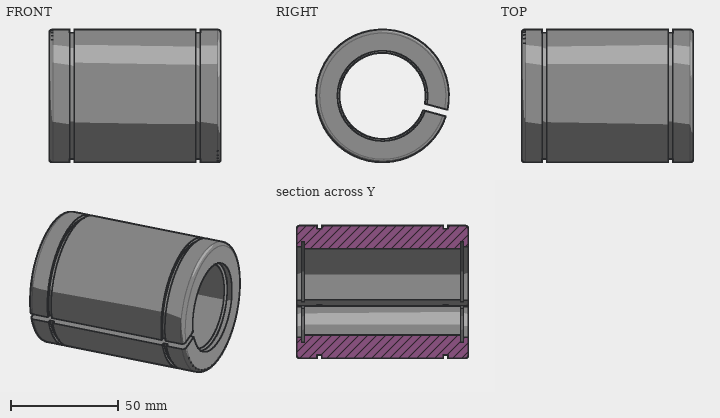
import cadquery as cq

length = 80.0
outer_diameter = 62.0
outer_radius = outer_diameter / 2
bore_radius = 20.0
edge_radius = 1.6

recess_radius = 21.0
recess_depth = 2.5

undercut_radius = 23.4
undercut_width = 1.0

groove_offset = 9.6
groove_width = 2.0
groove_depth = 1.5

slit_width = 3.0
slit_tilt = 15.0


def cylinder(radius, start, width):
    """Solid cylinder about the X axis, beginning at x = start."""
    return cq.Workplane("YZ", origin=(start, 0, 0)).circle(radius).extrude(width)


def make_body():
    left_end = -length / 2
    body = cylinder(outer_radius, left_end, length).edges().fillet(edge_radius)
    return body.cut(cylinder(bore_radius, left_end, length))


def cut_at_both_ends(body, cutter):
    """Cut with a tool at the -X end and its mirror image at the +X end."""
    return body.cut(cutter).cut(cutter.mirror("YZ"))


def make_groove():
    start = -length / 2 + groove_offset
    blank = cylinder(outer_radius + groove_depth, start, groove_width)
    return blank.cut(cylinder(outer_radius - groove_depth, start, groove_width))


def make_slit():
    slit = cq.Workplane("XY").box(length, outer_diameter, slit_width, centered=(True, False, True))
    return slit.rotate((0, 0, 0), (1, 0, 0), -slit_tilt)


result = make_body()
result = cut_at_both_ends(result, cylinder(recess_radius, -length / 2, recess_depth))
undercut_start = -length / 2 + recess_depth
result = cut_at_both_ends(result, cylinder(undercut_radius, undercut_start, undercut_width))
result = cut_at_both_ends(result, make_groove())
result = result.cut(make_slit())